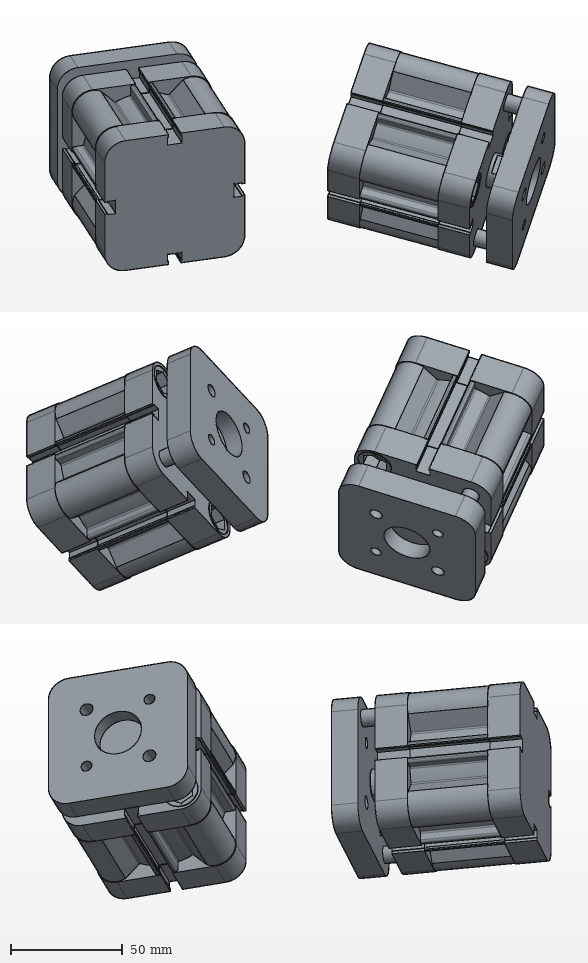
import cadquery as cq
import math

LENGTH = 86.5
PLATE_THICKNESS = 12.2
PLATE_GAP = 7.8
CAP_LENGTH = 14.9
PLATE_FRONT = -LENGTH / 2
PLATE_BACK = PLATE_FRONT + PLATE_THICKNESS
HOUSING_FRONT = PLATE_BACK + PLATE_GAP
HOUSING_BACK = LENGTH / 2
BARREL_FRONT = HOUSING_FRONT + CAP_LENGTH
BARREL_BACK = HOUSING_BACK - CAP_LENGTH
BARREL_LENGTH = BARREL_BACK - BARREL_FRONT

SIDE = 65.5
HALF_SIDE = SIDE / 2
CORNER_RADIUS = 9.6
CORNER_CENTER = HALF_SIDE - CORNER_RADIUS

RECESS_DIAMETER = 22.0
RECESS_DEPTH = 8.0
PLATE_HOLE_OFFSET = 14.8
LARGE_HOLE_DIAMETER = 6.0
SMALL_HOLE_DIAMETER = 5.0

BARREL_INSET = 0.35
BARREL_HALF = HALF_SIDE - BARREL_INSET
LOBE_RADIUS = BARREL_HALF - CORNER_CENTER
LOBE_END = 19.2
CORE_RADIUS = 27.85
VALLEY_FILLET = 0.8
RAIL_WIDTH = 10.7
RAIL_EDGE_RADIUS = 1.2

SLOT_WIDTH = 5.8
SLOT_DEPTH = 5.1
SLOT_LIP = 1.4
CAP_UNDERCUT = 0.4
BARREL_UNDERCUT = 0.8
BARREL_SLOT_CHAMFER = 0.4

SOCKET_ACROSS_FLATS = 11.0
SOCKET_DEPTH = 6.2
COUNTERBORE_DIAMETER = 16.0
COUNTERBORE_DEPTH = 0.4

PISTON_ROD_DIAMETER = 16.0
FLAT_WIDTH = 13.0
FLAT_LENGTH = 6.05
ROD_CHAMFER = 0.35
GUIDE_ROD_DIAMETER = 8.0


def section_at(x):
    """YZ workplane at station x, extruding toward +X."""
    return cq.Workplane("YZ", origin=(x, 0, 0))


def square_block(x, length):
    """Square block with rounded long edges."""
    block = section_at(x).rect(SIDE, SIDE).extrude(length)
    return block.edges("|X").fillet(CORNER_RADIUS)


def make_plate():
    """Front plate with a blind central recess and four through holes."""
    plate = square_block(PLATE_FRONT, PLATE_THICKNESS)
    recess = section_at(PLATE_FRONT).circle(RECESS_DIAMETER / 2).extrude(RECESS_DEPTH)
    plate = plate.cut(recess)
    for side_y in (-1, 1):
        for side_z in (-1, 1):
            diameter = LARGE_HOLE_DIAMETER if side_y == side_z else SMALL_HOLE_DIAMETER
            hole = (
                section_at(PLATE_FRONT)
                .center(side_y * PLATE_HOLE_OFFSET, side_z * PLATE_HOLE_OFFSET)
                .circle(diameter / 2)
                .extrude(PLATE_THICKNESS)
            )
            plate = plate.cut(hole)
    return plate


def slot_cutter(x, length, surface, undercut):
    """T-slot cutter on the +Z side, measured down from the given surface height."""
    half_mouth = SLOT_WIDTH / 2
    half_floor = half_mouth + undercut
    lip_bottom = surface - SLOT_LIP
    floor = surface - SLOT_DEPTH
    outline = [
        (-half_mouth, surface),
        (-half_mouth, lip_bottom),
        (-half_floor, lip_bottom),
        (-half_floor, floor),
        (half_floor, floor),
        (half_floor, lip_bottom),
        (half_mouth, lip_bottom),
        (half_mouth, surface),
    ]
    return section_at(x).polyline(outline).close().extrude(length)


def mouth_chamfer_cutter():
    """Cutter that bevels both edges of the barrel slot on the +Z side."""
    half_mouth = SLOT_WIDTH / 2
    half_bevel = half_mouth + BARREL_SLOT_CHAMFER
    bevel_bottom = BARREL_HALF - BARREL_SLOT_CHAMFER
    outline = [
        (-half_bevel, BARREL_HALF),
        (-half_mouth, bevel_bottom),
        (half_mouth, bevel_bottom),
        (half_bevel, BARREL_HALF),
    ]
    return section_at(BARREL_FRONT).polyline(outline).close().extrude(BARREL_LENGTH)


def on_four_sides(shape):
    """Union of a shape and its copies turned to all four sides about the X axis."""
    copies = shape
    for turn in range(1, 4):
        copies = copies.union(shape.rotate((0, 0, 0), (1, 0, 0), turn * 90))
    return copies


def corner_lobe():
    """Rounded corner lobe whose 45 degree flanks run down into the barrel core."""
    lobe_overhang = CORNER_CENTER - LOBE_END
    lobe_edge = CORNER_CENTER + math.sqrt(LOBE_RADIUS**2 - lobe_overhang**2)
    lobe_tip = CORNER_CENTER + LOBE_RADIUS * math.cos(math.pi / 4)
    flank_base = lobe_edge - LOBE_END
    return (
        section_at(BARREL_FRONT)
        .moveTo(0, flank_base)
        .lineTo(LOBE_END, lobe_edge)
        .threePointArc((lobe_tip, lobe_tip), (lobe_edge, LOBE_END))
        .lineTo(flank_base, 0)
        .close()
        .extrude(BARREL_LENGTH)
    )


def slot_rail():
    """Raised rail along the middle of the +Z side, rounded on its outer edges."""
    rail = (
        section_at(BARREL_FRONT)
        .center(0, BARREL_HALF / 2)
        .rect(RAIL_WIDTH, BARREL_HALF)
        .extrude(BARREL_LENGTH)
    )
    return rail.edges("|X and >Z").fillet(RAIL_EDGE_RADIUS)


def lies_on_core(edge):
    """True for a lengthwise edge on the surface of the barrel core."""
    center = edge.Center()
    return math.isclose(math.hypot(center.y, center.z), CORE_RADIUS, abs_tol=0.01)


def make_barrel():
    core = section_at(BARREL_FRONT).circle(CORE_RADIUS).extrude(BARREL_LENGTH)
    barrel = core.union(on_four_sides(corner_lobe())).union(on_four_sides(slot_rail()))
    valleys = barrel.edges("|X").filter(lies_on_core)
    barrel = barrel.newObject(valleys.vals()).fillet(VALLEY_FILLET)
    slot = slot_cutter(BARREL_FRONT, BARREL_LENGTH, BARREL_HALF, BARREL_UNDERCUT)
    slot = slot.union(mouth_chamfer_cutter())
    return barrel.cut(on_four_sides(slot))


def make_cap(x):
    """End cap starting at station x, with a slot on each side."""
    slot = slot_cutter(x, CAP_LENGTH, HALF_SIDE, CAP_UNDERCUT)
    return square_block(x, CAP_LENGTH).cut(on_four_sides(slot))


def screw_socket(side):
    """Hexagon socket with a shallow counterbore, where Y and Z have the same sign."""
    corner = section_at(HOUSING_FRONT).center(side * CORNER_CENTER, side * CORNER_CENTER)
    counterbore = corner.circle(COUNTERBORE_DIAMETER / 2).extrude(COUNTERBORE_DEPTH)
    hexagon = (
        corner.transformed(rotate=(0, 0, 30))
        .polygon(6, SOCKET_ACROSS_FLATS / math.cos(math.pi / 6))
        .extrude(COUNTERBORE_DEPTH + SOCKET_DEPTH)
    )
    return counterbore.union(hexagon)


def make_housing():
    housing = make_cap(HOUSING_FRONT).union(make_barrel()).union(make_cap(BARREL_BACK))
    for side in (-1, 1):
        housing = housing.cut(screw_socket(side))
    return housing


def make_piston_rod():
    rod = section_at(PLATE_BACK).circle(PISTON_ROD_DIAMETER / 2).extrude(PLATE_GAP)
    rod = rod.faces("<X").chamfer(ROD_CHAMFER)
    for side in (-1, 1):
        flat = (
            section_at(PLATE_BACK)
            .center(0, side * FLAT_WIDTH)
            .rect(PISTON_ROD_DIAMETER, FLAT_WIDTH)
            .extrude(FLAT_LENGTH)
        )
        rod = rod.cut(flat)
    return rod


def make_guide_rod(side):
    """Guide rod at the corner where Y and Z have opposite signs."""
    return (
        section_at(PLATE_BACK)
        .center(side * CORNER_CENTER, -side * CORNER_CENTER)
        .circle(GUIDE_ROD_DIAMETER / 2)
        .extrude(PLATE_GAP)
    )


plate = make_plate()
housing = make_housing()
piston_rod = make_piston_rod()
guide_rods = [make_guide_rod(side).val() for side in (-1, 1)]

result = cq.Compound.makeCompound([plate.val(), housing.val(), piston_rod.val(), *guide_rods])